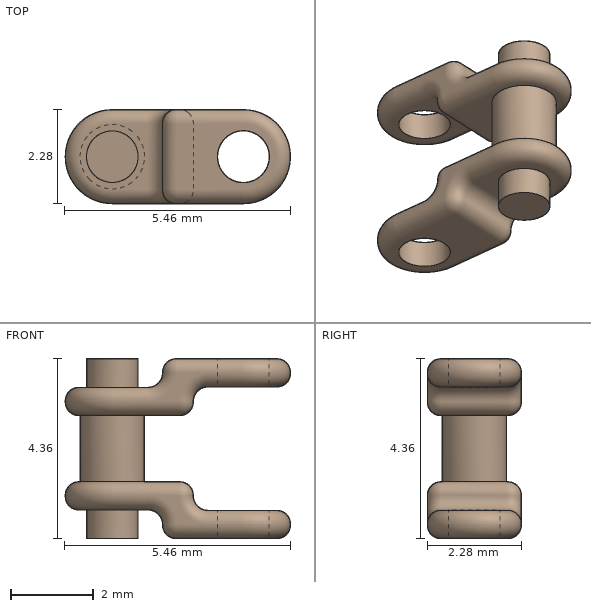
import cadquery as cq

length = 5.46
width = 2.28
height = 4.36
plate_thickness = 0.69
crank_offset = 0.695
edge_radius = 0.335
inner_bend_radius = 0.35
pin_diameter = 1.25
roller_diameter = 1.56
riser_start = 2.36
riser_end = 3.105

end_radius = width / 2
pin_x = end_radius
hole_x = length - end_radius

outer_top = height / 2
outer_bottom = outer_top - plate_thickness
inner_top = outer_top - crank_offset
inner_bottom = inner_top - plate_thickness
roller_length = 2 * inner_bottom + plate_thickness


def stepped_strip():
    """Step profile across the full width, with its two concave bends rounded."""
    strip = (
        cq.Workplane("XZ")
        .moveTo(0, inner_bottom)
        .lineTo(riser_end, inner_bottom)
        .lineTo(riser_end, outer_bottom)
        .lineTo(length, outer_bottom)
        .lineTo(length, outer_top)
        .lineTo(riser_start, outer_top)
        .lineTo(riser_start, inner_top)
        .lineTo(0, inner_top)
        .close()
        .extrude(width / 2, both=True)
    )
    half_thickness = plate_thickness / 2
    bends = cq.selectors.BoxSelector(
        (riser_start - half_thickness, -width, inner_top - half_thickness),
        (riser_end + half_thickness, width, inner_top + half_thickness),
    )
    return strip.edges("|Y").edges(bends).fillet(inner_bend_radius)


def link_plate():
    """Upper cranked plate: round ends and rounded edges, before its hole is cut."""
    outline = (
        cq.Workplane("XY")
        .center(length / 2, 0)
        .slot2D(length, width)
        .extrude(outer_top)
    )
    plate = stepped_strip().intersect(outline)
    crosswise_corners = "(|Y and (>Z or <Z))"
    return plate.edges(f"(not (|Y or |Z)) or {crosswise_corners}").fillet(edge_radius)


def cylinder(x, diameter, total_height):
    """Upright cylinder centred on the middle plane."""
    return cq.Workplane("XY").center(x, 0).circle(diameter / 2).extrude(total_height / 2, both=True)


upper_plate = link_plate()
lower_plate = upper_plate.mirror("XY")
pin = cylinder(pin_x, pin_diameter, height)
roller = cylinder(pin_x, roller_diameter, roller_length)
holes = cylinder(hole_x, pin_diameter, height)

result = upper_plate.union(lower_plate).cut(holes).union(roller).union(pin)